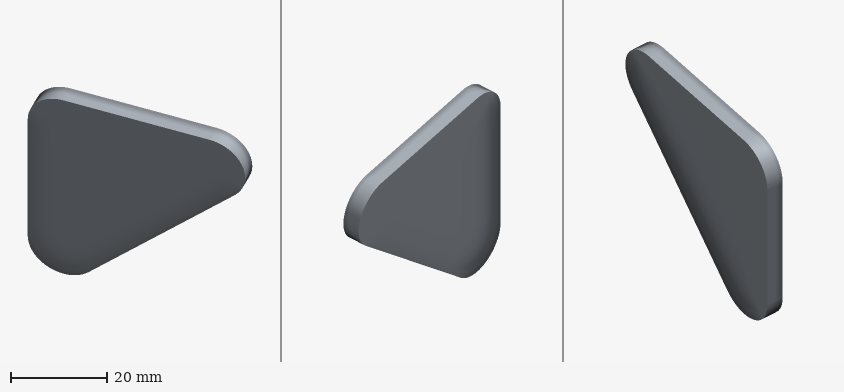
import cadquery as cq
import math

side = 48.7
thickness = 4.0
corner_radius = 8.0

half_side = side / 2
centre = half_side - corner_radius

diagonal = corner_radius * math.sqrt(0.5)

outline = (
    cq.Workplane("XZ", origin=(0, thickness / 2, 0))
    .moveTo(-half_side, -centre)
    .lineTo(-half_side, centre)
    .threePointArc((-centre - diagonal, centre + diagonal), (-centre, half_side))
    .lineTo(centre, half_side)
    .threePointArc((half_side, centre), (centre + diagonal, centre - diagonal))
    .lineTo(-centre + diagonal, -centre - diagonal)
    .threePointArc((-centre, -half_side), (-half_side, -centre))
    .close()
)

result = outline.extrude(thickness)